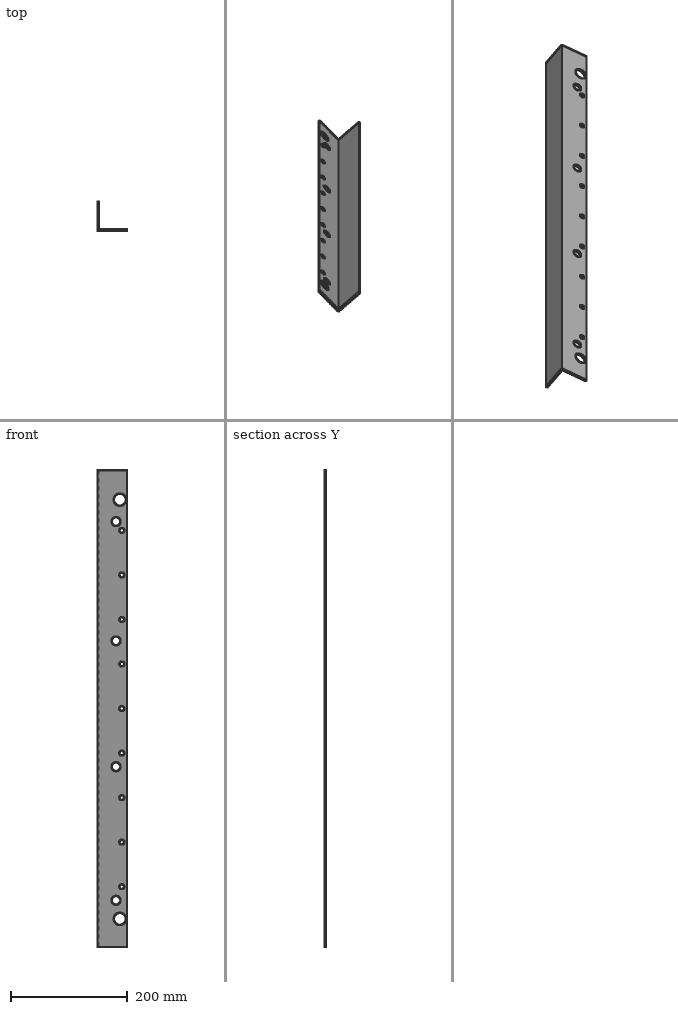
import cadquery as cq

length = 816.0
leg = 50.5
thickness = 3.0

large_diameter = 20.0
large_offset = 38.0
medium_diameter = 15.0
medium_offset = 32.0
small_diameter = 7.9
small_offset = 42.0

large_heights = [48.0, 765.0]
medium_heights = [80.0, 308.5, 524.0, 728.0]
small_count = 9
small_span = 609.5
small_pitch = small_span / (small_count - 1)
small_first_height = (length - small_span) / 2
small_heights = [small_first_height + i * small_pitch for i in range(small_count)]


def angle_bar():
    """Sharp-cornered L section extruded along Z, outer corner at the origin."""
    return (
        cq.Workplane("XY")
        .polyline([
            (0, 0),
            (leg, 0),
            (leg, thickness),
            (thickness, thickness),
            (thickness, leg),
            (0, leg),
        ])
        .close()
        .extrude(length)
    )


def hole_row(diameter, offset, heights):
    """Round cutters through the X leg, all at the same distance from the corner."""
    return (
        cq.Workplane("XZ")
        .pushPoints([(offset, height) for height in heights])
        .circle(diameter / 2)
        .extrude(-thickness)
    )


result = (
    angle_bar()
    .cut(hole_row(large_diameter, large_offset, large_heights))
    .cut(hole_row(medium_diameter, medium_offset, medium_heights))
    .cut(hole_row(small_diameter, small_offset, small_heights))
)